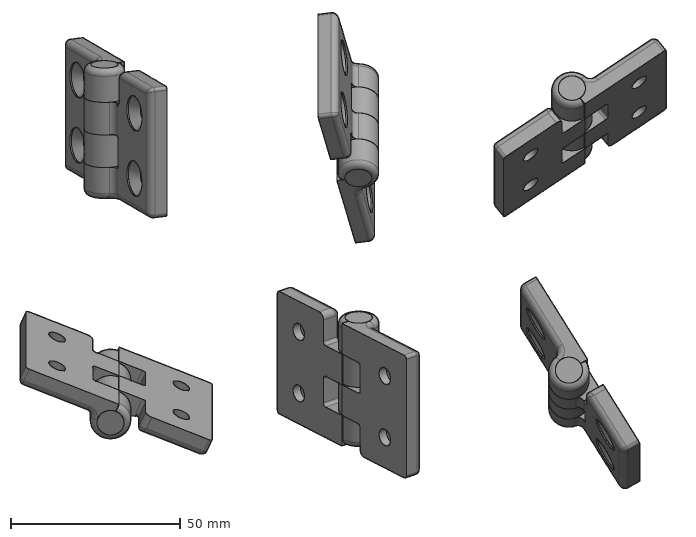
import cadquery as cq
import math

width = 60.0
height = 40.0
half_width = width / 2
half_height = height / 2

plate_thickness = 6.0
knuckle_radius = 6.0
knuckle_length = height / 4
back_step = 0.5
root_radius = 2.0
axis_y = -back_step - knuckle_radius

notch_edge = 8.5
notch_radius = 1.0

rim_radius = 2.0
notch_rim_radius = 1.0
corner_radius = 1.0

hole_x = width / 3
hole_z = height / 4
hole_diameter = 5.3
sink_diameter = 10.6
sink_angle = 90.0
sink_rim_depth = 0.5

pin_radius = knuckle_radius - rim_radius

root_reach = knuckle_radius + root_radius
root_y = -plate_thickness - root_radius
root_x = -math.sqrt(root_reach**2 - (root_y - axis_y) ** 2)


def z_slab(bottom, top):
    """Large block between two heights, running from the notch edge past the pin axis."""
    size_x = notch_edge + 2 * knuckle_radius
    size_y = 4 * knuckle_radius
    block = cq.Workplane("XY").box(size_x, size_y, top - bottom, centered=(False, True, False))
    return block.translate((-notch_edge, axis_y, bottom))


def nearest_edge(body, point):
    """The edge of the body whose middle is closest to the point."""
    return body.edges(cq.selectors.NearestToPointSelector(point))


def notched_plate():
    """Flat left plate up to the pin axis, with one closed and one open notch."""
    plate = cq.Workplane("XY").box(half_width, plate_thickness, height, centered=(False, False, True))
    plate = plate.translate((-half_width, -plate_thickness, 0))

    closed_notch = z_slab(0, knuckle_length).edges("|Y and <X").fillet(notch_radius)
    open_notch = z_slab(-height, -knuckle_length).edges("|Y and <X and >Z").fillet(notch_radius)
    plate = plate.cut(closed_notch).cut(open_notch)

    open_notch_middle = -(half_height + knuckle_length + notch_radius) / 2
    notch_front = nearest_edge(plate, (-notch_edge, -plate_thickness, open_notch_middle))
    return plate.newObject([plate.val().fillet(notch_rim_radius, notch_front.vals())])


def knuckle(bottom):
    """Knuckle of the left leaf with its concave root, filled up to the flat back as far as the axis."""
    share = knuckle_radius / root_reach
    root_end = (root_x * share, axis_y + (root_y - axis_y) * share)
    end_angle = math.atan2(root_end[1] - root_y, root_end[0] - root_x)
    middle_angle = (end_angle + math.pi / 2) / 2
    root_middle = (
        root_x + root_radius * math.cos(middle_angle),
        root_y + root_radius * math.sin(middle_angle),
    )
    round_middle = (
        knuckle_radius * math.cos(math.pi / 4),
        axis_y - knuckle_radius * math.sin(math.pi / 4),
    )
    return (
        cq.Workplane("XY", origin=(0, 0, bottom))
        .moveTo(0, 0)
        .lineTo(root_x, 0)
        .lineTo(root_x, -plate_thickness)
        .threePointArc(root_middle, root_end)
        .threePointArc(round_middle, (0, -back_step))
        .close()
        .extrude(knuckle_length)
    )


def round_leaf(leaf):
    """Round the front rim, the outer knuckle end and the outer corners.

    The rounding runs along tangent edges: the top rim continues around the knuckle,
    and the bottom rim continues into the corner beside the open notch.
    """
    outer_front = nearest_edge(leaf, (-half_width, -plate_thickness, 0))
    top_front = nearest_edge(leaf, ((root_x - half_width) / 2, -plate_thickness, half_height))
    bottom_front = nearest_edge(leaf, (-(notch_edge + half_width) / 2, -plate_thickness, -half_height))
    rim = outer_front.vals() + top_front.vals() + bottom_front.vals()
    leaf = leaf.newObject([leaf.val().fillet(rim_radius, rim)])
    return leaf.edges("|Y and <X").fillet(corner_radius)


def screw_hole(z):
    """Tool for one countersunk hole of the left leaf, entering from the front."""
    radius = hole_diameter / 2
    sink_radius = sink_diameter / 2
    cone_depth = (sink_radius - radius) / math.tan(math.radians(sink_angle / 2))
    rim_y = -plate_thickness + sink_rim_depth
    return (
        cq.Workplane("XY")
        .moveTo(0, 0)
        .lineTo(radius, 0)
        .lineTo(radius, rim_y + cone_depth)
        .lineTo(sink_radius, rim_y)
        .lineTo(sink_radius, -plate_thickness)
        .lineTo(0, -plate_thickness)
        .close()
        .revolve(360, (0, 0, 0), (0, 1, 0))
        .translate((-hole_x, 0, z))
    )


def make_pin():
    """Pin through all four knuckles, flush with both ends."""
    return cq.Workplane("XY", origin=(0, axis_y, -half_height)).circle(pin_radius).extrude(height)


def make_leaf():
    """Left leaf, with the upper of each pair of knuckles and a bore for the pin."""
    leaf = notched_plate()
    for bottom in (knuckle_length, -knuckle_length):
        leaf = leaf.union(knuckle(bottom))
    leaf = round_leaf(leaf)
    for z in (hole_z, -hole_z):
        leaf = leaf.cut(screw_hole(z))
    return leaf.cut(make_pin())


left_leaf = make_leaf()
leaves = [left_leaf.rotate((0, 0, 0), (0, 1, 0), turn) for turn in (0, 180)]
pin = make_pin()

result = cq.Compound.makeCompound([*[leaf.solids().val() for leaf in leaves], pin.val()])